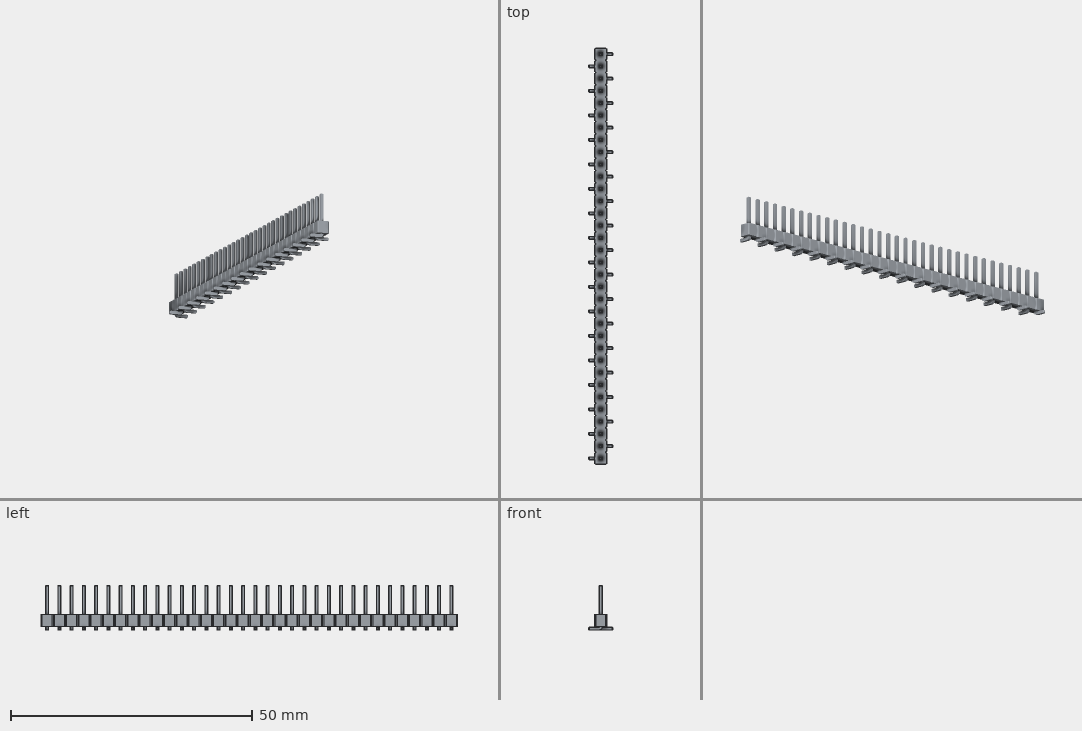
import cadquery as cq

pin_count = 34
pitch = 2.54
foot_span = 5.0
total_height = 9.3
post_height = 6.0
row_length = pin_count * pitch

body_width = pitch
body_height = pitch
body_bottom = total_height - post_height - body_height
block_chamfer = pitch / 10

pin_width = 0.64
end_chamfer = pin_width / 4
bend_radius = pin_width


def pin_y(index):
    """Y position of a pin, counted from the -Y end of the row."""
    return (index + 0.5) * pitch - row_length / 2


def make_block():
    """One body block, centred on the Z axis."""
    block = cq.Workplane("XY").workplane(offset=body_bottom).rect(body_width, pitch).extrude(body_height)
    return block.edges("|Z").chamfer(block_chamfer)


def make_pin():
    """L-shaped pin with an upright post on the Z axis and a foot pointing to -X."""
    half = pin_width / 2
    foot_tip = -foot_span / 2
    profile = (
        cq.Workplane("XZ")
        .moveTo(foot_tip, 0)
        .lineTo(half - bend_radius, 0)
        .radiusArc((half, bend_radius), -bend_radius)
        .lineTo(half, total_height)
        .lineTo(-half, total_height)
        .lineTo(-half, pin_width)
        .lineTo(foot_tip, pin_width)
        .close()
    )
    pin = profile.extrude(half, both=True)
    return pin.faces(">Z or <X").chamfer(end_chamfer)


block = make_block()
left_pin = make_pin()
right_pin = left_pin.rotate((0, 0, 0), (0, 0, 1), 180)
left_unit = block.union(left_pin)
right_unit = block.union(right_pin)

units = []
for index in range(pin_count):
    unit = left_unit if index % 2 == 0 else right_unit
    units.append(unit.translate((0, pin_y(index), 0)).val())

row = units[0].fuse(*units[1:]).clean()
result = cq.Workplane(row).solids()